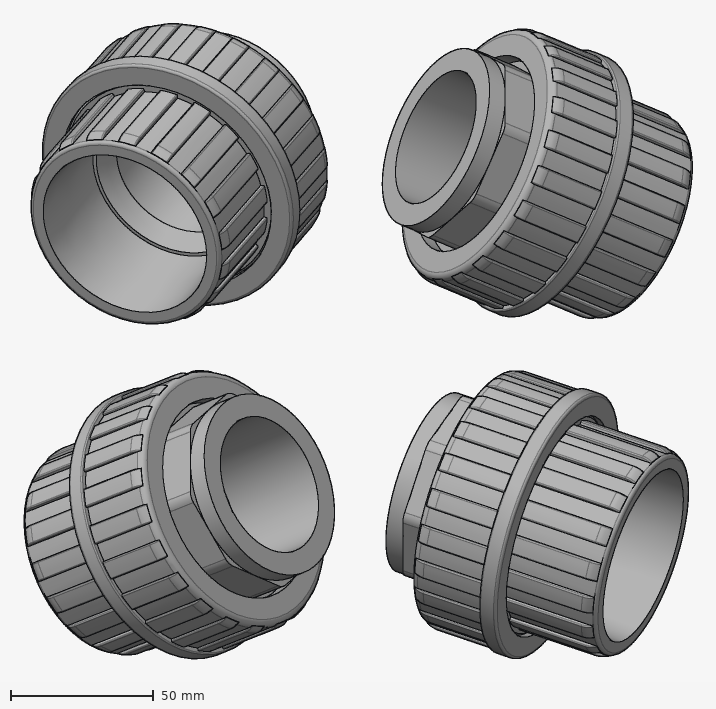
import cadquery as cq
import math


total_length = 84.3
front_y = -total_length / 2
back_y = total_length / 2

nut_back_y = 25.4
nut_grip_radius = 46.9
nut_back_fillet = 2.4
nut_back_wall = 5.9
nut_bore_radius = 81.55 / 2
nut_neck_radius = 73.2 / 2
flange_front_y = -8.7
flange_thickness = 6.6
flange_radius = 48.95
flange_front_fillet = 1.0
flange_back_fillet = 0.5

rib_width = 6.9
rib_edge_fillet = 0.5
rib_crown_radius = 6.7
rib_crown_length = 3.9
rib_height = 2.9
nut_rib_count = 22
nut_rib_radius = 47.9
nut_crown_y = 20.4
socket_rib_count = 18
socket_rib_radius = 38.6
socket_crown_y = -36.8

socket_radius = 37.2
socket_mouth_fillet = 1.4
ring_setback = 1.7
ring_chamfer = 0.8
collar_radius = 66.3 / 2
collar_length = 6.7
octagon_sides = 8
octagon_fillet = 5.3

socket_mouth_bore_radius = 31.9
socket_end_bore_radius = 31.1
socket_depth = 38.0
cone_mouth_radius = 59.6 / 2
cone_length = 6.3
bore_radius = 49.8 / 2

flange_back_y = flange_front_y + flange_thickness
ring_front_y = flange_front_y + ring_setback
ring_back_y = nut_back_y - nut_back_wall
collar_front_y = back_y - collar_length
socket_end_y = front_y + socket_depth
cone_end_y = socket_end_y + cone_length

AXIS_START = (0, 0, 0)
AXIS_END = (0, 1, 0)


def cylinder(radius, start_y, end_y):
    """Solid cylinder on the Y axis between two positions."""
    return cq.Workplane("XZ", origin=(0, start_y, 0)).circle(radius).extrude(start_y - end_y)


def grip_ribs(count, top_radius, start_y, crown_y):
    """Ring of ribs from start_y, whose tops curve down from crown_y to their free ends."""
    direction = math.copysign(1, crown_y - start_y)
    end_y = crown_y + direction * rib_crown_length
    middle_y = (crown_y + end_y) / 2
    centre_y = (start_y + end_y) / 2
    root_radius = top_radius - rib_height

    def crown_height(y):
        drop = rib_crown_radius - math.sqrt(rib_crown_radius**2 - (y - crown_y) ** 2)
        return top_radius - drop

    envelope = (
        cq.Workplane("XY")
        .moveTo(0, start_y)
        .lineTo(top_radius, start_y)
        .lineTo(top_radius, crown_y)
        .threePointArc((crown_height(middle_y), middle_y), (crown_height(end_y), end_y))
        .lineTo(0, end_y)
        .close()
        .revolve(360, AXIS_START, AXIS_END)
    )
    bar = (
        cq.Workplane("XY", origin=(0, centre_y, root_radius))
        .rect(rib_width, abs(end_y - start_y))
        .extrude(2 * rib_height)
    )
    rib = bar.intersect(envelope)

    span = abs(start_y) + abs(end_y)
    near_top = cq.selectors.BoxSelector(
        (-rib_width, -span, top_radius - rib_height / 3), (rib_width, span, top_radius + rib_height)
    )
    rib = rib.faces("<X or >X").edges(near_top).fillet(rib_edge_fillet)
    return [rib.rotate(AXIS_START, AXIS_END, i * 360 / count) for i in range(count)]


def fuse_ribs(barrel, ribs):
    """Join a whole ring of ribs to the barrel it stands on."""
    return cq.Workplane(barrel.val().fuse(*[rib.val() for rib in ribs]))


def make_nut():
    grip = cylinder(nut_grip_radius, flange_back_y, nut_back_y)
    grip = grip.faces(">Y").edges().fillet(nut_back_fillet)
    grip = fuse_ribs(grip, grip_ribs(nut_rib_count, nut_rib_radius, flange_back_y, nut_crown_y))

    flange = cylinder(flange_radius, flange_front_y, flange_back_y)
    flange = flange.faces("<Y").edges().fillet(flange_front_fillet)
    flange = flange.faces(">Y").edges().fillet(flange_back_fillet)

    bore = cylinder(nut_bore_radius, flange_front_y, ring_back_y)
    neck = cylinder(nut_neck_radius, ring_back_y, nut_back_y)
    return flange.union(grip).cut(bore.union(neck))


def make_socket():
    socket = cylinder(socket_radius, front_y, ring_front_y)
    socket = socket.faces("<Y").edges().fillet(socket_mouth_fillet)
    ribs = grip_ribs(socket_rib_count, socket_rib_radius, ring_front_y, socket_crown_y)
    return fuse_ribs(socket, ribs)


def make_octagon():
    """Wrench octagon with rounded corners and flats facing X and Z."""
    half_side_angle = 180 / octagon_sides
    corner_diameter = 2 * collar_radius / math.cos(math.radians(half_side_angle))
    return (
        cq.Workplane("XZ", origin=(0, ring_back_y, 0))
        .transformed(rotate=(0, 0, half_side_angle))
        .polygon(octagon_sides, corner_diameter)
        .extrude(ring_back_y - collar_front_y)
        .edges("|Y")
        .fillet(octagon_fillet)
    )


def make_passage():
    """Slightly tapered socket, a shoulder, a cone and a plain bore to the back."""
    return (
        cq.Workplane("XY")
        .moveTo(0, front_y)
        .lineTo(socket_mouth_bore_radius, front_y)
        .lineTo(socket_end_bore_radius, socket_end_y)
        .lineTo(cone_mouth_radius, socket_end_y)
        .lineTo(bore_radius, cone_end_y)
        .lineTo(bore_radius, back_y)
        .lineTo(0, back_y)
        .close()
        .revolve(360, AXIS_START, AXIS_END)
    )


def make_sleeve():
    ring = cylinder(nut_bore_radius, ring_front_y, ring_back_y)
    ring = ring.faces("<Y").edges().chamfer(ring_chamfer)
    collar = cylinder(collar_radius, collar_front_y, back_y)
    back_end = ring.union(make_octagon()).union(collar)
    return make_socket().union(back_end).cut(make_passage())


nut = make_nut()
sleeve = make_sleeve()
result = cq.Compound.makeCompound([nut.solids().val(), sleeve.solids().val()])